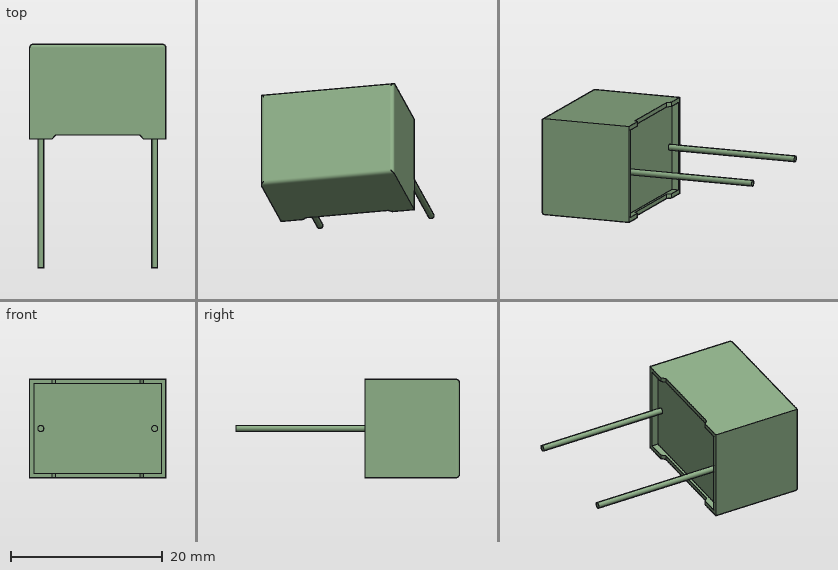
import cadquery as cq

box_width = 18.0
box_depth = 12.5
box_height = 13.0
wall = 0.6
back_fillet = 0.5

notch_depth = 0.5
notch_mouth_width = 12.05
notch_floor_width = 11.1

resin_recess = 0.88

overall_length = 29.5
lead_length = overall_length - box_depth
lead_diameter = 0.8
lead_pitch = 15.02
lead_positions = (-lead_pitch / 2, lead_pitch / 2)

cavity_width = box_width - 2 * wall
cavity_height = box_height - 2 * wall
cavity_depth = box_depth - wall
resin_depth = cavity_depth - resin_recess


def block(width, depth, height, front):
    """Box centred on X and Z that runs from Y = front toward +Y."""
    return cq.Workplane("XY").box(width, depth, height, centered=(True, False, True)).translate((0, front, 0))


def make_housing():
    shell = block(box_width, box_depth, box_height, 0).faces(">Y").edges().fillet(back_fillet)
    shell = shell.cut(block(cavity_width, cavity_depth, cavity_height, 0))
    notch = (
        cq.Workplane("XY")
        .polyline([
            (-notch_mouth_width / 2, 0),
            (notch_mouth_width / 2, 0),
            (notch_floor_width / 2, notch_depth),
            (-notch_floor_width / 2, notch_depth),
        ])
        .close()
        .extrude(box_height / 2, both=True)
    )
    return shell.cut(notch)


def make_resin():
    return block(cavity_width, resin_depth, cavity_height, resin_recess)


def make_lead(x):
    """Straight wire from its free end to the face of the resin."""
    return (
        cq.Workplane("XZ", origin=(x, resin_recess, 0))
        .circle(lead_diameter / 2)
        .extrude(lead_length + resin_recess)
    )


housing = make_housing()
resin = make_resin()
leads = [make_lead(x) for x in lead_positions]

result = cq.Compound.makeCompound([housing.val(), resin.val(), *[lead.val() for lead in leads]])